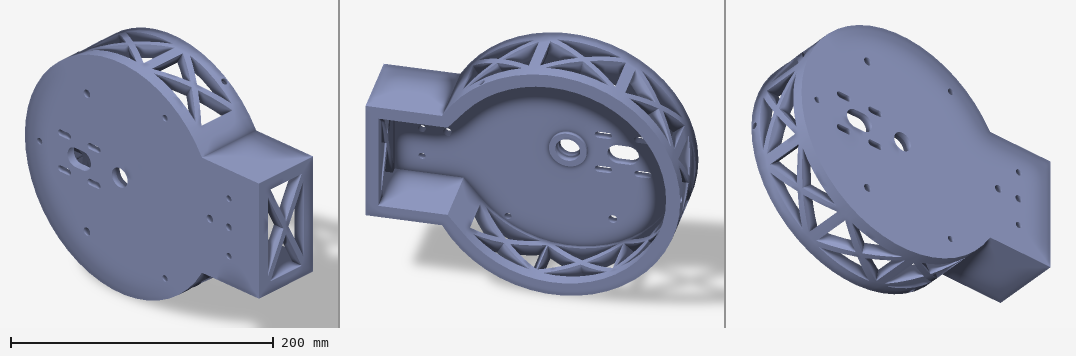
import cadquery as cq
import math

length = 246.5
depth = 60.0
drum_diameter = 200.0
drum_radius = drum_diameter / 2

drum_wall = 11.0
tongue_wall = 10.0
plate_thickness = 7.0
tongue_height = 99.9
tongue_end = length - drum_radius
neck_angle = 39.4

window_depth = 40.0
drum_window_width = 60.0
tongue_window_width = tongue_height - 2 * tongue_wall
strut_width = 5.0
window_pitch = 40.0
windows_each_side = 3

shaft_hole_diameter = 16.5
small_hole_diameter = 5.5
pillar_hole_diameter = 7.0
cable_hole_diameter = 6.7
center_hole_diameter = 6.2
rim_hole_radius = 84.3
rim_hole_angle = 55.6
pillar_hole_radius = 69.0
pillar_hole_angle = 120.0
cable_hole_x = 95.0
tongue_hole_x = 115.0
tongue_hole_spacing = 25.0

bearing_diameter = 19.5
bearing_seat_start = 5.0
boss_diameter = 29.5
boss_end = 10.0

motor_x = -42.7
motor_screw_spacing = 31.0
motor_travel = 8.1

radial_hole_inset = 3.5
radial_hole_depth = 3.5
rim_angles = (rim_hole_angle, 180.0, -rim_hole_angle)


def polar(radius, angle):
    """X and Z of a point at an angle from +X towards +Z."""
    return radius * math.cos(math.radians(angle)), radius * math.sin(math.radians(angle))


def along_y(start, end, draw):
    """Extrude the profile drawn in the XZ plane from Y = start to Y = end."""
    workplane = cq.Workplane("XZ", origin=(0, start, 0))
    return draw(workplane).extrude(start - end)


def housing_block(radius, half_height, end, start):
    """Disc joined to a rectangular tongue, from Y = start to the back."""
    disc = along_y(start, depth, lambda w: w.circle(radius))
    tongue = along_y(start, depth, lambda w: w.center(end / 2, 0).rect(end, 2 * half_height))
    return disc.union(tongue)


def neck():
    """Cavity flare: flats tangent to the drum's inner circle, ending at the tongue's inner faces."""
    radius = drum_radius - drum_wall
    half_height = tongue_height / 2 - tongue_wall
    touch_x, touch_z = polar(radius, neck_angle)
    end_x = touch_x + (touch_z - half_height) * math.tan(math.radians(neck_angle))
    corners = [(touch_x, -touch_z), (end_x, -half_height), (end_x, half_height), (touch_x, touch_z)]
    return along_y(plate_thickness, depth, lambda w: w.polyline(corners).close())


def housing():
    """Tray with a front plate and a side wall, open at the back."""
    outside = housing_block(drum_radius, tongue_height / 2, tongue_end, 0)
    inside = housing_block(
        drum_radius - drum_wall,
        tongue_height / 2 - tongue_wall,
        tongue_end - tongue_wall,
        plate_thickness,
    )
    return outside.cut(inside).cut(neck())


def truss_window(width, near, far, angle):
    """Cutter for a window crossed by two struts, facing outwards at an angle about the drum axis."""
    reach = far - near
    plane = cq.Workplane("YZ", origin=(near, depth / 2, 0))
    opening = plane.rect(window_depth, width).extrude(reach)
    diagonal = math.hypot(window_depth, width)
    slope = math.degrees(math.atan2(width, window_depth))
    for tilt in (slope, -slope):
        strut = plane.transformed(rotate=(0, 0, tilt)).rect(2 * diagonal, strut_width).extrude(reach)
        opening = opening.cut(strut)
    return opening.rotate((0, 0, 0), (0, 1, 0), -angle)


def plate_holes(diameter, points):
    """Round holes through the front plate."""
    return along_y(0, plate_thickness, lambda w: w.pushPoints(points).circle(diameter / 2))


def plate_slots(width, points):
    """Round-ended slots through the front plate, lengthwise along X."""
    slot_length = width + motor_travel
    return along_y(0, plate_thickness, lambda w: w.pushPoints(points).slot2D(slot_length, width))


def radial_hole(angle):
    """Blind screw hole into the drum wall, beside the open back."""
    plane = cq.Workplane("YZ", origin=(drum_radius - radial_hole_depth, depth - radial_hole_inset, 0))
    hole = plane.circle(small_hole_diameter / 2).extrude(drum_wall)
    return hole.rotate((0, 0, 0), (0, 1, 0), -angle)


result = housing()

result = result.union(along_y(0, boss_end, lambda w: w.circle(boss_diameter / 2)))
result = result.cut(along_y(bearing_seat_start, boss_end, lambda w: w.circle(bearing_diameter / 2)))

for step in range(-windows_each_side, windows_each_side + 1):
    window_angle = 180 + step * window_pitch
    inner_reach = drum_radius - 2 * drum_wall
    result = result.cut(truss_window(drum_window_width, inner_reach, drum_radius, window_angle))
result = result.cut(truss_window(tongue_window_width, tongue_end - tongue_wall, tongue_end, 0))

rim_points = [polar(rim_hole_radius, angle) for angle in rim_angles]
tongue_points = [(tongue_hole_x, side * tongue_hole_spacing) for side in (-1, 1)]
pillar_points = [polar(pillar_hole_radius, side * pillar_hole_angle) for side in (-1, 1)]
result = result.cut(plate_holes(shaft_hole_diameter, [(0, 0)]))
result = result.cut(plate_holes(small_hole_diameter, rim_points + tongue_points))
result = result.cut(plate_holes(pillar_hole_diameter, pillar_points))
result = result.cut(plate_holes(cable_hole_diameter, [(cable_hole_x, 0)]))
result = result.cut(plate_holes(center_hole_diameter, [(tongue_hole_x, 0)]))

motor_screw_points = [
    (motor_x + side_x * motor_screw_spacing / 2, side_z * motor_screw_spacing / 2)
    for side_x in (-1, 1)
    for side_z in (-1, 1)
]
result = result.cut(plate_slots(shaft_hole_diameter, [(motor_x, 0)]))
result = result.cut(plate_slots(small_hole_diameter, motor_screw_points))

for angle in rim_angles:
    result = result.cut(radial_hole(angle))